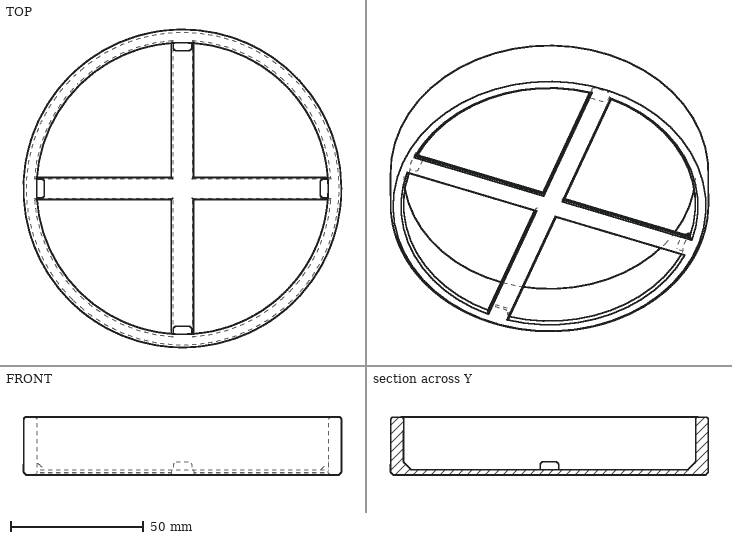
import cadquery as cq
outer_diameter = 120.5
wall = 5.0
height = 22.0
edge_round = 1.0
foot_chamfer = 1.0
outer_radius = outer_diameter / 2
inner_radius = outer_radius - wall

spoke_width = 8.5
spoke_thickness = 2.0
spoke_round = 0.7
spoke_chamfer = 0.5
spoke_count = 4

gusset_width = spoke_width - 2 * spoke_round
gusset_reach = 3.0
gusset_round = 1.0

embed = wall / 2


def make_ring():
    """Ring with a rounded rim and a chamfered foot that blends into the outer wall."""
    ring = cq.Workplane("XY").circle(outer_radius).circle(inner_radius).extrude(height)
    ring = ring.faces(">Z").edges().fillet(edge_round)
    ring = ring.faces("<Z").edges().chamfer(foot_chamfer)
    foot_edges = cq.selectors.BoxSelector(
        (-outer_radius, -outer_radius, foot_chamfer / 2),
        (outer_radius, outer_radius, foot_chamfer * 3 / 2),
    )
    outermost = cq.selectors.RadiusNthSelector(-1)
    return ring.edges(foot_edges).edges(outermost).fillet(edge_round)


def make_spokes():
    """Cross of two bars with rounded upper edges and chamfered lower edges."""
    length = 2 * (inner_radius + embed)
    bar = cq.Workplane("XY").rect(length, spoke_width).extrude(spoke_thickness)
    cross = bar.union(bar.rotate((0, 0, 0), (0, 0, 1), 90))
    cross = cross.faces("<Z").edges().chamfer(spoke_chamfer)
    return cross.faces(">Z").edges().fillet(spoke_round)


def make_gusset():
    """Sloped wedge at the +X spoke end, sunk into the spoke, with both slope edges rounded."""
    sink = spoke_round
    base = spoke_thickness - sink
    toe = inner_radius - gusset_reach - sink
    back = inner_radius + embed
    wedge = (
        cq.Workplane("XZ")
        .moveTo(toe, base)
        .lineTo(back, base + back - toe)
        .lineTo(back, base)
        .close()
        .extrude(gusset_width / 2, both=True)
    )
    return wedge.edges("not (|X or |Y or |Z)").fillet(gusset_round)


result = make_ring().union(make_spokes())
gusset = make_gusset()
for index in range(spoke_count):
    angle = index * 360 / spoke_count
    result = result.union(gusset.rotate((0, 0, 0), (0, 0, 1), angle))